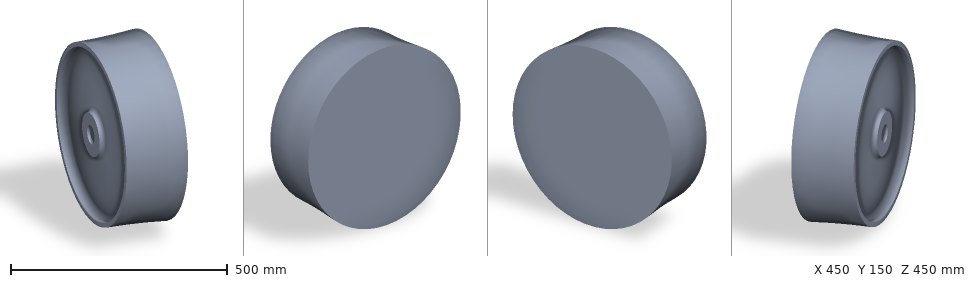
import cadquery as cq
import math

width = 150.0
front_y = -width / 2
back_y = width / 2

back_radius = 225.0
front_radius = 217.5

draft_angle = 5
draft_slope = math.tan(math.radians(draft_angle))
rim_wall = 11.2
rim_inner_radius = front_radius - rim_wall
hub_face_radius = 52.5
hub_height = 11.2
dish_fillet = 10.0

shaft_radius = 22.5
shaft_recess = 8.0


def tread_midpoint():
    """Point halfway along the tread, whose arc is centred on the front plane."""
    flare = back_radius - front_radius
    arc_radius = (width**2 + flare**2) / (2 * flare)
    half_width = width / 2
    radius = front_radius + arc_radius - math.sqrt(arc_radius**2 - half_width**2)
    return radius, front_y + half_width


def make_wheel():
    hub_root_radius = hub_face_radius + hub_height * draft_slope
    web_span = rim_inner_radius - hub_root_radius
    rim_root_depth = (hub_height + web_span * draft_slope) / (1 + draft_slope**2)
    rim_root_radius = rim_inner_radius - rim_root_depth * draft_slope

    wheel = (
        cq.Workplane("XY")
        .moveTo(shaft_radius, front_y)
        .lineTo(hub_face_radius, front_y)
        .lineTo(hub_root_radius, front_y + hub_height)
        .lineTo(rim_root_radius, front_y + rim_root_depth)
        .lineTo(rim_inner_radius, front_y)
        .lineTo(front_radius, front_y)
        .threePointArc(tread_midpoint(), (back_radius, back_y))
        .lineTo(shaft_radius, back_y)
        .close()
        .revolve(360, (0, 0, 0), (0, 1, 0))
    )

    margin = hub_height / 2
    web_corners = cq.selectors.BoxSelector(
        (-margin, front_y + margin, -margin),
        (margin, back_y - margin, margin),
    )
    return wheel.edges(web_corners).fillet(dish_fillet).solids()


def make_shaft():
    """Plain shaft from the wheel's back face to just short of the hub face."""
    return (
        cq.Workplane("XZ", origin=(0, back_y, 0))
        .circle(shaft_radius)
        .extrude(width - shaft_recess)
    )


wheel = make_wheel()
shaft = make_shaft()

result = cq.Compound.makeCompound([wheel.val(), shaft.val()])